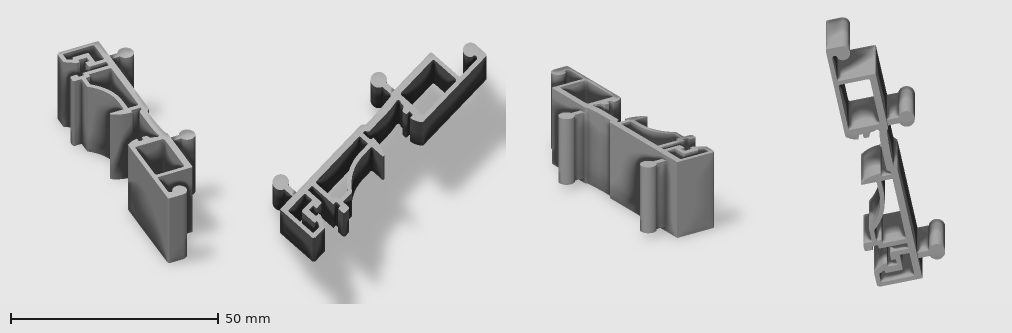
import cadquery as cq

height = 20.0
length = 62.5
corner_fillet = 0.5
small_fillet = 0.3
plate_thickness = 1.7
plate_under = -plate_thickness
wall = 1.1
thin_wall = 1.0

rail_stem_width = 1.45
rail_bead_radius = 2.0
rail_bead_y = 4.75
rail_end_inset = 1.3
rail_spacing = 35.0
first_rail_x = 5.45
rail_root_fillet = 0.25

channel_right = 8.1
channel_bottom = -11.1
channel_lip_top = -4.1
channel_chamfer = 0.5

leg_left = 9.6
leg_right = leg_left + wall
foot_right = 11.7
foot_bottom = -12.2
leg_step_y = -7.55
notch_top = -8.7
notch_bottom = -10.2
notch_depth = 0.95
arm_low_top = -8.9
arm_low_under = -9.95
arm_top_start = 14.45
arm_under_start = 14.95
arm_crest_x = 23.5
arm_high_top = -4.5
arm_high_under = arm_high_top - wall
blade_left = 26.55
blade_wall_right = blade_left + wall
blade_tip_y = -9.4
blade_tip_width = 0.45

web_top = -0.8
web_under = -2.6
web_start = 29.75
web_end = 39.5
web_corner_x = 39.2
web_corner_y = -2.25

box_inner_left = 41.0
box_inner_right = 52.9
box_right = box_inner_right + thin_wall
floor_top = -9.45
floor_under = floor_top - wall
hook_radius = 1.8
hook_y = -6.7
hook_x = length - hook_radius
throat_x = 59.8
throat_radius = 0.6


def extrude(sketch):
    """Sweep a closed section over the full height."""
    return sketch.close().extrude(height)


def prism(points):
    return extrude(cq.Workplane("XY").polyline(points))


def block(left, right, bottom, top):
    return prism([(left, bottom), (right, bottom), (right, top), (left, top)])


def fillet_at(body, radius, corners):
    """Round the vertical edges that pass through the given section corners."""
    for x, y in corners:
        body = body.edges(cq.selectors.NearestToPointSelector((x, y, height / 2))).fillet(radius)
    return body


def rail(center_x):
    rail_height = height - 2 * rail_end_inset
    half_width = rail_stem_width / 2
    base = cq.Workplane("XY").workplane(offset=rail_end_inset)
    bead = base.center(center_x, rail_bead_y).circle(rail_bead_radius).extrude(rail_height)
    stem = (
        base.moveTo(center_x - half_width - rail_root_fillet, 0)
        .radiusArc((center_x - half_width, rail_root_fillet), -rail_root_fillet)
        .lineTo(center_x - half_width, rail_bead_y)
        .lineTo(center_x + half_width, rail_bead_y)
        .lineTo(center_x + half_width, rail_root_fillet)
        .radiusArc((center_x + half_width + rail_root_fillet, 0), -rail_root_fillet)
        .lineTo(center_x + half_width, plate_under / 2)
        .lineTo(center_x - half_width, plate_under / 2)
        .close()
        .extrude(rail_height)
    )
    return bead.union(stem)


def plate_and_web():
    """Flat plate that steps down into a slightly bowed web."""
    return extrude(
        cq.Workplane("XY")
        .moveTo(0, 0)
        .lineTo(28.9, 0)
        .lineTo(web_start, web_top)
        .threePointArc((34.7, -0.75), (38.9, -0.45))
        .lineTo(web_end, 0)
        .lineTo(box_inner_left, 0)
        .lineTo(box_inner_left, web_corner_y)
        .lineTo(web_corner_x, web_corner_y)
        .threePointArc((37.5, -2.5), (35.45, web_under))
        .lineTo(29.0, web_under)
        .lineTo(28.3, plate_under)
        .lineTo(0, plate_under)
    )


def left_channel():
    lip_left, lip_right = 4.6, 6.1
    lip_bottom = -6.4
    catch_right, catch_top, catch_bottom = 5.55, -7.55, -8.4
    body = prism([
        (0, 0), (0, channel_bottom + channel_chamfer), (channel_chamfer, channel_bottom),
        (3.9, channel_bottom), (catch_right, catch_bottom), (catch_right, catch_top),
        (lip_left, catch_top), (lip_left, -5.25), (lip_right, -5.25), (lip_right, lip_bottom),
        (channel_right, lip_bottom), (channel_right, 0),
    ])
    body = fillet_at(body, small_fillet, [(lip_left, catch_top), (catch_right, catch_bottom)])
    body = fillet_at(body, corner_fillet, [(channel_right, lip_bottom)])

    cavity_right = channel_right - wall
    cavity_bottom = channel_bottom + wall
    lip_back, pocket_top = 3.1, -8.5
    cavity = prism([
        (thin_wall, plate_under), (cavity_right, plate_under), (cavity_right, channel_lip_top),
        (lip_back, channel_lip_top), (lip_back, pocket_top), (3.8, pocket_top), (3.8, -8.95),
        (3.2, cavity_bottom), (thin_wall, cavity_bottom),
    ])
    cavity = fillet_at(cavity, small_fillet, [
        (thin_wall, plate_under), (cavity_right, plate_under), (lip_back, channel_lip_top),
        (lip_back, pocket_top), (thin_wall, cavity_bottom),
    ])
    return body.cut(cavity)


def notched_leg():
    leg = block(leg_left, leg_right, leg_step_y, 0)
    foot = block(leg_left, foot_right, foot_bottom, leg_step_y)
    foot = fillet_at(foot, corner_fillet, [(leg_left, foot_bottom), (foot_right, foot_bottom)])
    foot = fillet_at(foot, small_fillet, [(foot_right, leg_step_y)])
    notch = block(leg_left, leg_left + notch_depth, notch_bottom, notch_top)
    return leg.union(foot).cut(notch)


def crest_radius(start_x, low_y, high_y):
    """Radius of the arc that rises from start_x and levels out at the arm's crest."""
    run = arm_crest_x - start_x
    rise = high_y - low_y
    return (run**2 + rise**2) / (2 * rise)


def curved_arm():
    """Arm of nearly even thickness, rising from the foot to the blade."""
    arm_left = leg_left + notch_depth
    under_radius = crest_radius(arm_under_start, arm_low_under, arm_high_under)
    top_radius = crest_radius(arm_top_start, arm_low_top, arm_high_top)
    return extrude(
        cq.Workplane("XY")
        .moveTo(arm_left, arm_low_under)
        .lineTo(arm_under_start, arm_low_under)
        .radiusArc((arm_crest_x, arm_high_under), under_radius)
        .lineTo(blade_left, arm_high_under)
        .lineTo(blade_left, arm_high_top)
        .lineTo(arm_crest_x, arm_high_top)
        .radiusArc((arm_top_start, arm_low_top), -top_radius)
        .lineTo(arm_left, arm_low_top)
    )


def blade():
    return extrude(
        cq.Workplane("XY")
        .moveTo(blade_left, 0)
        .lineTo(blade_wall_right, 0)
        .lineTo(blade_wall_right, -4.05)
        .lineTo(28.25, -4.45)
        .lineTo(28.5, -4.25)
        .threePointArc((28.1, -7.0), (blade_left + blade_tip_width, blade_tip_y))
        .lineTo(blade_left, blade_tip_y)
    )


def box():
    tooth_x, root_x = 38.2, 39.3
    body = extrude(
        cq.Workplane("XY")
        .moveTo(web_end, 0)
        .lineTo(web_corner_x, web_corner_y)
        .threePointArc((39.7, -2.7), (web_end, -3.25))
        .lineTo(root_x, -4.45)
        .lineTo(tooth_x, -5.0)
        .lineTo(tooth_x, -6.3)
        .lineTo(root_x, -6.3)
        .lineTo(root_x, -7.55)
        .lineTo(tooth_x, -7.55)
        .threePointArc((38.6, -9.2), (web_end, floor_under))
        .lineTo(box_right, floor_under)
        .lineTo(box_right, 0)
    )
    body = fillet_at(body, small_fillet, [(tooth_x, -6.3), (root_x, -7.55), (box_right, 0)])
    body = fillet_at(body, corner_fillet, [(web_end, floor_under)])
    cavity = block(box_inner_left, box_inner_right, floor_top, plate_under)
    return body.cut(cavity.edges("|Z").fillet(corner_fillet))


def end_hook():
    bead = cq.Workplane("XY").center(hook_x, hook_y).circle(hook_radius).extrude(height)
    arm = extrude(
        cq.Workplane("XY")
        .moveTo(box_inner_right, floor_under)
        .lineTo(length, floor_under)
        .lineTo(length, hook_y)
        .lineTo(throat_x, hook_y)
        .lineTo(throat_x, floor_top)
        .lineTo(box_inner_right, floor_top)
    )
    arm = fillet_at(arm, corner_fillet, [(length, floor_under)])
    throat_y = floor_top + throat_radius
    throat = cq.Workplane("XY").center(throat_x, throat_y).circle(throat_radius).extrude(height)
    return bead.union(arm).cut(throat)


result = plate_and_web()
for member in (left_channel(), notched_leg(), curved_arm(), blade(), box(), end_hook()):
    result = result.union(member)

result = fillet_at(result, small_fillet, [
    (leg_left, plate_under),
    (leg_right, plate_under),
    (blade_left, plate_under),
    (blade_left, arm_high_under),
    (box_right, floor_top),
])

for rail_x in (first_rail_x, first_rail_x + rail_spacing):
    result = result.union(rail(rail_x))